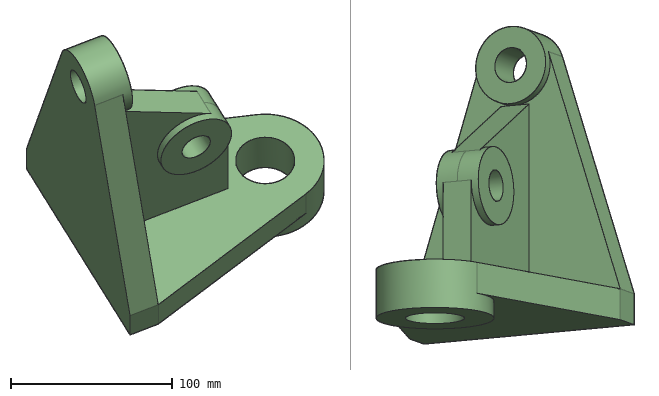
import cadquery as cq
import math

plate_width = 146.16
plate_thickness = 19.49
overall_length = 165.60
overall_height = 200.96

base_end_radius = 36.54
base_hole_diameter = 36.54
foot_height = 10.96

ear_radius = 24.36
ear_hole_diameter = 21.92
ear_length = 25.58

pivot_radius = 24.36
pivot_width = 29.23
pivot_hole_diameter = 19.49
pivot_from_wall = 54.81
pivot_above_base = 60.90

half_width = plate_width / 2
base_hole_y = overall_length - base_end_radius
ear_z = overall_height - foot_height - ear_radius
pivot_y = plate_thickness + pivot_from_wall
pivot_z = plate_thickness + pivot_above_base
rib_top_z = ear_z - ear_radius


def tangent_point(point, center, radius, turn):
    """Where a line from point touches a circle; turn is 1 for counterclockwise, -1 for clockwise."""
    dx = point[0] - center[0]
    dy = point[1] - center[1]
    angle = math.atan2(dy, dx) + turn * math.acos(radius / math.hypot(dx, dy))
    return (center[0] + radius * math.cos(angle), center[1] + radius * math.sin(angle))


def tapered_outline(workplane, center_height, end_radius):
    """Outline with a straight-sided lower end whose edges taper tangentially into a round end."""
    center = (0, center_height)
    shoulder = (half_width, plate_thickness)
    right_x, tangent_y = tangent_point(shoulder, center, end_radius, turn=1)
    return (
        workplane
        .moveTo(-half_width, 0)
        .lineTo(half_width, 0)
        .lineTo(*shoulder)
        .lineTo(right_x, tangent_y)
        .threePointArc((0, center_height + end_radius), (-right_x, tangent_y))
        .lineTo(-half_width, plate_thickness)
        .close()
    )


def cylinder_along_y(radius, length):
    """Cylinder on the ear axis, starting at the outer wall face."""
    return cq.Workplane("XZ").center(0, ear_z).circle(radius).extrude(-length)


def cylinder_along_x(radius, width):
    """Cylinder on the pivot axis, centered on X = 0."""
    return cq.Workplane("YZ").center(pivot_y, pivot_z).circle(radius).extrude(width / 2, both=True)


def make_base():
    plate = tapered_outline(cq.Workplane("XY"), base_hole_y, base_end_radius).extrude(plate_thickness)
    foot = cq.Workplane("XY").center(0, base_hole_y).circle(base_end_radius).extrude(-foot_height)
    return plate.union(foot)


def make_wall():
    plate = tapered_outline(cq.Workplane("XZ"), ear_z, ear_radius).extrude(-plate_thickness)
    return plate.union(cylinder_along_y(ear_radius, ear_length))


def make_rib():
    """Web from base and wall, with edges tangent to the pivot boss that rounds its corner."""
    center = (pivot_y, pivot_z)
    wall_point = (plate_thickness, rib_top_z)
    upper_tangent = tangent_point(wall_point, center, pivot_radius, turn=-1)
    web = (
        cq.Workplane("YZ")
        .moveTo(plate_thickness, plate_thickness)
        .lineTo(pivot_y + pivot_radius, plate_thickness)
        .lineTo(pivot_y + pivot_radius, pivot_z)
        .lineTo(*center)
        .lineTo(*upper_tangent)
        .lineTo(*wall_point)
        .close()
        .extrude(plate_thickness / 2, both=True)
    )
    return web.union(cylinder_along_x(pivot_radius, pivot_width))


def make_base_hole():
    return (
        cq.Workplane("XY", origin=(0, base_hole_y, -foot_height))
        .circle(base_hole_diameter / 2)
        .extrude(foot_height + plate_thickness)
    )


result = (
    make_base()
    .union(make_wall())
    .union(make_rib())
    .cut(make_base_hole())
    .cut(cylinder_along_y(ear_hole_diameter / 2, ear_length))
    .cut(cylinder_along_x(pivot_hole_diameter / 2, pivot_width))
)